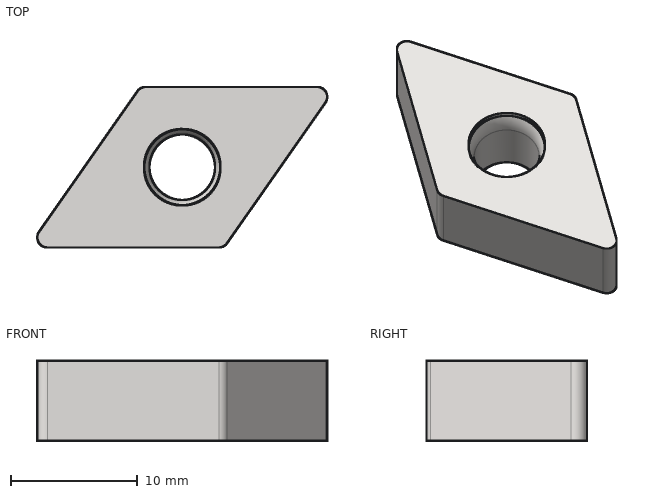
import cadquery as cq
import math

inscribed_circle = 12.7
thickness = 6.35
nose_angle = math.radians(55)
nose_radius = 0.8
hole_diameter = 5.16
hole_mouth_diameter = 6.08
flare_diameter = 5.98
rim_depth = 0.34
flare_depth = 1.4

side_length = inscribed_circle / math.sin(nose_angle)
half_height = inscribed_circle / 2
lean = half_height / math.tan(nose_angle)


def make_body():
    """Diamond prism with all four upright corners rounded."""
    corners = [
        (-side_length / 2 - lean, -half_height),
        (side_length / 2 - lean, -half_height),
        (side_length / 2 + lean, half_height),
        (-side_length / 2 + lean, half_height),
    ]
    prism = cq.Workplane("XY").polyline(corners).close().extrude(thickness)
    return prism.edges("|Z").fillet(nose_radius)


def make_hole():
    """Through hole that flares upward along an arc tangent to the bore, up to a short conical rim."""
    bore_radius = hole_diameter / 2
    mouth_radius = hole_mouth_diameter / 2
    flare_end_radius = flare_diameter / 2
    flare_width = flare_end_radius - bore_radius
    flare_radius = (flare_depth**2 + flare_width**2) / (2 * flare_width)
    half_sweep = math.asin(flare_depth / flare_radius) / 2
    flare_end = thickness - rim_depth
    flare_start = flare_end - flare_depth
    flare_middle = (
        bore_radius + flare_radius * (1 - math.cos(half_sweep)),
        flare_start + flare_radius * math.sin(half_sweep),
    )
    return (
        cq.Workplane("XZ")
        .lineTo(bore_radius, 0)
        .lineTo(bore_radius, flare_start)
        .threePointArc(flare_middle, (flare_end_radius, flare_end))
        .lineTo(mouth_radius, thickness)
        .lineTo(0, thickness)
        .close()
        .revolve(360, (0, 0, 0), (0, 1, 0))
    )


result = make_body().cut(make_hole())